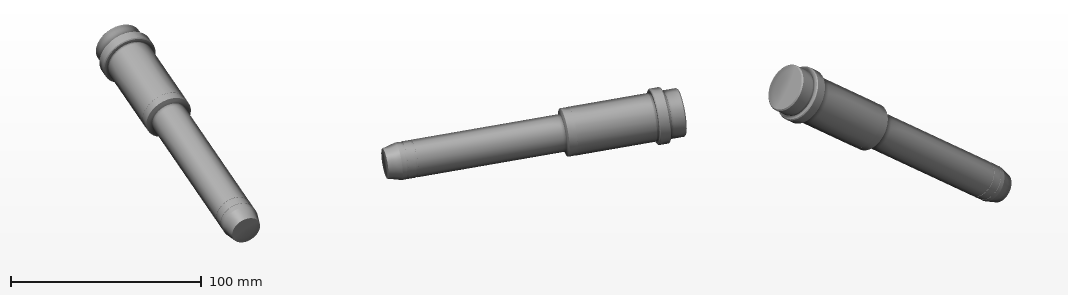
import cadquery as cq
import math

length = 160.0
flange_diameter = 30.0
body_diameter = 26.0
shaft_diameter = 20.0

flange_start = 9.0
flange_end = 15.0
lead_start = 58.9
body_end = 63.4
shaft_start = 64.3
nose_length = 7.2
ring_grooves = ((15.7, 14.7), (10.5, 9.6))

base_chamfer = 0.6
flange_chamfer = 0.5
relief_width = 1.1
relief_depth = 0.3
lead_reduction = 0.08
ring_groove_depth = 0.2
nose_angle = 15.0

flange_radius = flange_diameter / 2
body_radius = body_diameter / 2
shaft_radius = shaft_diameter / 2
lead_radius = body_radius - lead_reduction
nose_start = length - nose_length
nose_tip_radius = shaft_radius - nose_length * math.tan(math.radians(nose_angle))


def ring(start, end, outer_radius, depth):
    """Ring that cuts a groove of the given depth into a round surface."""
    return (
        cq.Workplane("YZ", origin=(start, 0, 0))
        .circle(outer_radius + depth)
        .circle(outer_radius - depth)
        .extrude(end - start)
    )


def turned_blank():
    """Body, flange, shaft and conical nose as one revolved half profile."""
    return (
        cq.Workplane("XY")
        .lineTo(0, body_radius - base_chamfer)
        .lineTo(base_chamfer, body_radius)
        .lineTo(flange_start, body_radius)
        .lineTo(flange_start, flange_radius - flange_chamfer)
        .lineTo(flange_start + flange_chamfer, flange_radius)
        .lineTo(flange_end - flange_chamfer, flange_radius)
        .lineTo(flange_end, flange_radius - flange_chamfer)
        .lineTo(flange_end, body_radius)
        .lineTo(lead_start, body_radius)
        .lineTo(lead_start, lead_radius)
        .lineTo(body_end, lead_radius)
        .lineTo(shaft_start, shaft_radius)
        .lineTo(nose_start, shaft_radius)
        .lineTo(length, nose_tip_radius)
        .lineTo(length, 0)
        .close()
        .revolve(360, (0, 0, 0), (1, 0, 0))
    )


result = turned_blank()

for start in (flange_start - relief_width, flange_end):
    result = result.cut(ring(start, start + relief_width, body_radius, relief_depth))

for start_back, end_back in ring_grooves:
    groove = ring(length - start_back, length - end_back, shaft_radius, ring_groove_depth)
    result = result.cut(groove)